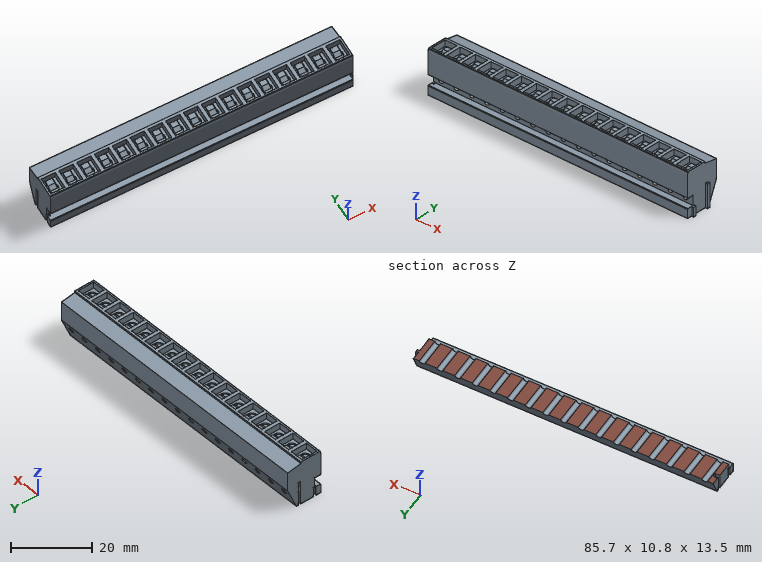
import cadquery as cq

total_length = 85.7
pole_count = 17
body_length = 85.0
pole_pitch = body_length / pole_count
body_depth = 10.8
body_height = 13.5

heel_y = 8.0
heel_z = 6.5
back_top_z = 12.3
step_y = 6.5
step_low_z = 13.0
front_bevel_depth = 0.2
front_bevel_height = 1.0
top_edge_chamfer = 0.2
groove_depth = 2.05
groove_bottom_z = 2.8
groove_top_z = 5.8
groove_lip_chamfer = 0.2

hole_diameter = 1.5
hole_z = 4.3

pocket_width = 3.9
pocket_front_y = 0.85
pocket_back_y = 5.7
pocket_depth = 1.9
screw_diameter = 2.65
screw_y = 3.0
screw_recess_depth = 0.4
tongue_width = 2.05
tongue_back_gap = 0.25
tongue_back_y = pocket_back_y - tongue_back_gap
tongue_front_y = 3.9
tongue_toe_y = 2.8
tongue_height = 0.4

joint_width = 0.8
joint_flare = 0.25
back_joint_y = 6.6
back_joint_height = 7.2
front_joint_y = 1.6
front_joint_height = groove_bottom_z
rib_projection = total_length - body_length
latch_extra_depth = 0.6
latch_height = 1.8

pole_centres = [(index + 0.5) * pole_pitch for index in range(pole_count)]
pocket_floor_z = body_height - pocket_depth


def box(x0, x1, y0, y1, z0, z1):
    return cq.Workplane("XY").box(x1 - x0, y1 - y0, z1 - z0, centered=False).translate((x0, y0, z0))


def make_body():
    """Body extruded along the row, with a bevelled front edge and a groove low on the front face."""
    outline = [
        (0, 0),
        (heel_y, 0),
        (body_depth, heel_z),
        (body_depth, back_top_z),
        (step_y, step_low_z),
        (step_y, body_height),
        (front_bevel_depth + top_edge_chamfer, body_height),
        (front_bevel_depth, body_height - top_edge_chamfer),
        (0, body_height - front_bevel_height),
        (0, groove_top_z + groove_lip_chamfer),
        (groove_lip_chamfer, groove_top_z),
        (groove_depth, groove_top_z),
        (groove_depth, groove_bottom_z),
        (groove_lip_chamfer, groove_bottom_z),
        (0, groove_bottom_z - groove_lip_chamfer),
    ]
    return cq.Workplane("YZ").polyline(outline).close().extrude(body_length)


def wire_hole(centre_x):
    """Round hole from the groove wall out through the back."""
    plane = cq.Workplane("XZ", origin=(centre_x, 0, hole_z))
    return plane.circle(hole_diameter / 2).extrude(-body_depth)


def pocket(centre_x):
    """Rectangular well with a round screw recess in its floor."""
    half = pocket_width / 2
    well = box(centre_x - half, centre_x + half, pocket_front_y, pocket_back_y, pocket_floor_z, body_height)
    recess_z = pocket_floor_z - screw_recess_depth
    plane = cq.Workplane("XY", origin=(centre_x, screw_y, recess_z))
    screw = plane.circle(screw_diameter / 2).extrude(screw_recess_depth)
    return well.union(screw)


def tongue(centre_x):
    """Raised clamp tongue that slopes down into the screw recess."""
    low_z = pocket_floor_z - screw_recess_depth
    top_z = pocket_floor_z + tongue_height
    profile = [(tongue_back_y, low_z), (tongue_back_y, top_z), (tongue_front_y, top_z), (tongue_toe_y, low_z)]
    plane = cq.Workplane("YZ", origin=(centre_x - tongue_width / 2, 0, 0))
    return plane.polyline(profile).close().extrude(tongue_width)


def joint(root_x, y0, height, back_flare, front_flare):
    """Upright half-dovetail bar, narrow at root_x and flared on one side at its far edge."""
    y1 = y0 + joint_width
    tip_x = root_x + rib_projection
    outline = [(root_x, y0), (tip_x, y0 - front_flare), (tip_x, y1 + back_flare), (root_x, y1)]
    return cq.Workplane("XY").polyline(outline).close().extrude(height)


def joint_pair(root_x):
    back_joint = joint(root_x, back_joint_y, back_joint_height, joint_flare, 0)
    front_joint = joint(root_x, front_joint_y, front_joint_height, 0, joint_flare)
    return [back_joint, front_joint]


def latch_recess():
    """Deeper step in the floor of the back slot, level with the wire holes."""
    y1 = back_joint_y + joint_width
    half = latch_height / 2
    return box(0, rib_projection + latch_extra_depth, back_joint_y, y1, hole_z - half, hole_z + half)


result = make_body()
for x in pole_centres:
    result = result.cut(wire_hole(x)).cut(pocket(x)).union(tongue(x))
for slot in joint_pair(0):
    result = result.cut(slot)
result = result.cut(latch_recess())
for rib in joint_pair(body_length):
    result = result.union(rib)